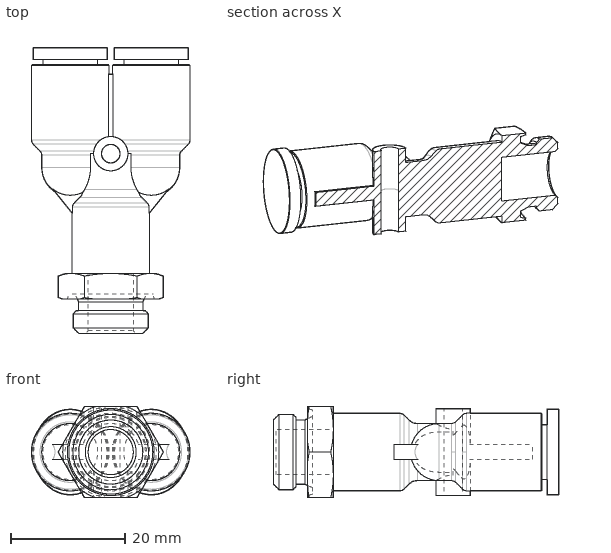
import cadquery as cq
import math

TOTAL_LENGTH = 50.1
TOTAL_WIDTH = 27.8

SELECT_MARGIN = 0.025

LEG_RADIUS = 6.8
LEG_X = TOTAL_WIDTH / 2 - LEG_RADIUS
LEG_NECK_RADIUS = 5.0
LEG_END_Y = 47.1
LEG_SHOULDER_Y = 33.45
LEG_NECK_Y = LEG_SHOULDER_Y - (LEG_RADIUS - LEG_NECK_RADIUS)
DOME_Y = 29.05
LEG_BLEND = 1.0
LEG_END_CHAMFER = 0.15

COLLAR_HALF_WIDTH = 6.5
COLLAR_HALF_HEIGHT = 7.5
COLLAR_THICKNESS = 2.1
COLLAR_CHAMFER = 0.1
COLLAR_NECK_RADIUS = 4.8

STEM_RADIUS = LEG_RADIUS
TRUNK_RADIUS = LEG_NECK_RADIUS
STEM_SHOULDER_Y = 22.6
TRUNK_START_Y = STEM_SHOULDER_Y + STEM_RADIUS - TRUNK_RADIUS
SHOULDER_BLEND = 1.0
TRUNK_BLEND = 2.0

BOSS_Y = 31.5
BOSS_RADIUS = 3.0
BOSS_HOLE_RADIUS = 1.6
BOSS_HEIGHT = 15.25

WEB_THICKNESS = 2.6
WEB_END_Y = 45.45
WEB_FOOT_Y = 21.15
WEB_WING_X = 10.7
WEB_WING_Y = 26.0

HEX_SIDES = 6
HEX_ACROSS_FLATS = 16.0
HEX_ACROSS_CORNERS = HEX_ACROSS_FLATS / math.cos(math.pi / HEX_SIDES)
HEX_START_Y = 6.0
HEX_END_Y = 10.5
HEX_LOWER_BEVEL_RADIUS = 8.4
HEX_UPPER_BEVEL_RADIUS = HEX_ACROSS_FLATS / 2
HEX_BEVEL_ANGLE = math.radians(20)
RECESS_RADIUS = 7.6
RECESS_FLOOR_RADIUS = 7.35
RECESS_DEPTH = 0.9

THREAD_RADIUS = 6.6
THREAD_TIP_CHAMFER = 1.0
THREAD_END_Y = 4.0
THREAD_BACK_CHAMFER = 0.55
UNDERCUT_RADIUS = 5.65
UNDERCUT_END_Y = 5.55
FLARE_RADIUS = 6.25
BORE_RADIUS = 3.95
BORE_CHAMFER = 0.5
BORE_DEPTH = HEX_END_Y


def cylinder_along_y(radius, start_y, end_y):
    """Solid cylinder on the Y axis."""
    return cq.Workplane("XZ", origin=(0, start_y, 0)).circle(radius).extrude(start_y - end_y)


def revolve_about_y(points):
    """Solid of revolution from (radius, y) points."""
    return cq.Workplane("XY").polyline(points).close().revolve(360, (0, 0, 0), (0, 1, 0))


def edges_at(y, radius):
    """Selector for the circular edge at a given position along the Y axis."""
    return cq.selectors.BoxSelector(
        (-radius, y - SELECT_MARGIN, -radius),
        (radius, y + SELECT_MARGIN, radius),
    )


def make_leg():
    """Tube leg on the Y axis, with a domed inner end and an oval collar."""
    leg = revolve_about_y([
        (0, DOME_Y),
        (LEG_NECK_RADIUS, DOME_Y),
        (LEG_NECK_RADIUS, LEG_NECK_Y),
        (LEG_RADIUS, LEG_SHOULDER_Y),
        (LEG_RADIUS, LEG_END_Y),
        (0, LEG_END_Y),
    ])
    leg = leg.edges(edges_at(LEG_NECK_Y, LEG_RADIUS)).fillet(LEG_BLEND)
    leg = leg.edges(edges_at(LEG_SHOULDER_Y, LEG_RADIUS)).fillet(LEG_BLEND)
    leg = leg.faces(">Y").edges().chamfer(LEG_END_CHAMFER)
    dome = cq.Workplane("XY", origin=(0, DOME_Y, 0)).sphere(LEG_NECK_RADIUS)
    neck = cylinder_along_y(COLLAR_NECK_RADIUS, LEG_END_Y, TOTAL_LENGTH - COLLAR_THICKNESS)
    collar = (
        cq.Workplane("XZ", origin=(0, TOTAL_LENGTH, 0))
        .ellipse(COLLAR_HALF_WIDTH, COLLAR_HALF_HEIGHT)
        .extrude(COLLAR_THICKNESS)
        .faces(">Y").edges().chamfer(COLLAR_CHAMFER)
    )
    return leg.union(dome).union(neck).union(collar)


def make_stem():
    """Stem above the recess floor, stepping down to the trunk that ends in the boss."""
    stem = revolve_about_y([
        (0, HEX_START_Y + RECESS_DEPTH),
        (STEM_RADIUS, HEX_START_Y + RECESS_DEPTH),
        (STEM_RADIUS, STEM_SHOULDER_Y),
        (TRUNK_RADIUS, TRUNK_START_Y),
        (TRUNK_RADIUS, BOSS_Y),
        (0, BOSS_Y),
    ])
    stem = stem.edges(edges_at(TRUNK_START_Y, STEM_RADIUS)).fillet(TRUNK_BLEND)
    return stem.edges(edges_at(STEM_SHOULDER_Y, STEM_RADIUS)).fillet(SHOULDER_BLEND)


def make_boss():
    """Upright cylinder that stands out on both sides of the trunk."""
    return (
        cq.Workplane("XY", origin=(0, BOSS_Y, -BOSS_HEIGHT / 2))
        .circle(BOSS_RADIUS)
        .extrude(BOSS_HEIGHT)
    )


def make_web():
    """Plate that fills between the legs and braces the domes against the stem."""
    right_side = [
        (STEM_RADIUS, WEB_FOOT_Y),
        (WEB_WING_X, WEB_WING_Y),
        (LEG_X, DOME_Y),
        (LEG_X, WEB_END_Y),
    ]
    left_side = [(-x, y) for x, y in reversed(right_side)]
    return (
        cq.Workplane("XY", origin=(0, 0, -WEB_THICKNESS / 2))
        .polyline(right_side + left_side)
        .close()
        .extrude(WEB_THICKNESS)
    )


def make_hex():
    """Hexagon with bevelled corners and a tapered recess in its thread-side face."""
    hexagon = (
        cq.Workplane("XZ", origin=(0, HEX_START_Y, 0))
        .polygon(HEX_SIDES, HEX_ACROSS_CORNERS)
        .extrude(HEX_START_Y - HEX_END_Y)
    )
    outer_radius = HEX_ACROSS_CORNERS / 2
    lower_bevel = (outer_radius - HEX_LOWER_BEVEL_RADIUS) * math.tan(HEX_BEVEL_ANGLE)
    upper_bevel = (outer_radius - HEX_UPPER_BEVEL_RADIUS) * math.tan(HEX_BEVEL_ANGLE)
    envelope = revolve_about_y([
        (0, HEX_START_Y),
        (HEX_LOWER_BEVEL_RADIUS, HEX_START_Y),
        (outer_radius, HEX_START_Y + lower_bevel),
        (outer_radius, HEX_END_Y - upper_bevel),
        (HEX_UPPER_BEVEL_RADIUS, HEX_END_Y),
        (0, HEX_END_Y),
    ])
    recess = revolve_about_y([
        (0, HEX_START_Y),
        (RECESS_RADIUS, HEX_START_Y),
        (RECESS_FLOOR_RADIUS, HEX_START_Y + RECESS_DEPTH),
        (0, HEX_START_Y + RECESS_DEPTH),
    ])
    return hexagon.intersect(envelope).cut(recess)


def make_threaded_end():
    """Plain thread body, with an undercut that flares out to the recess floor."""
    floor_y = HEX_START_Y + RECESS_DEPTH
    return revolve_about_y([
        (0, 0),
        (THREAD_RADIUS - THREAD_TIP_CHAMFER, 0),
        (THREAD_RADIUS, THREAD_TIP_CHAMFER),
        (THREAD_RADIUS, THREAD_END_Y - THREAD_BACK_CHAMFER),
        (THREAD_RADIUS - THREAD_BACK_CHAMFER, THREAD_END_Y),
        (UNDERCUT_RADIUS, THREAD_END_Y),
        (UNDERCUT_RADIUS, UNDERCUT_END_Y),
        (FLARE_RADIUS, floor_y),
        (0, floor_y),
    ])


def make_bore():
    """Blind bore with a chamfered mouth."""
    return revolve_about_y([
        (0, 0),
        (BORE_RADIUS + BORE_CHAMFER, 0),
        (BORE_RADIUS, BORE_CHAMFER),
        (BORE_RADIUS, BORE_DEPTH),
        (0, BORE_DEPTH),
    ])


boss_hole = (
    cq.Workplane("XY", origin=(0, BOSS_Y, 0))
    .circle(BOSS_HOLE_RADIUS)
    .extrude(BOSS_HEIGHT, both=True)
)

body = make_stem().union(make_hex()).union(make_threaded_end())
body = body.union(make_web()).union(make_boss())
for side in (-1, 1):
    body = body.union(make_leg().translate((side * LEG_X, 0, 0)))

result = body.cut(boss_hole).cut(make_bore())